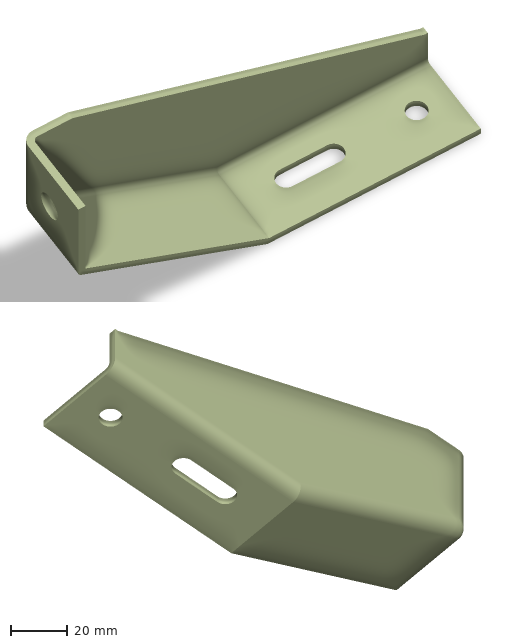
import cadquery as cq
import math

width = 38.0
length = 170.0
height = 80.0

thickness = 3.0
inner_bend = 2.0
outer_bend = inner_bend + thickness
front_corner_radius = 2.0

bend_y = 79.9
front_corner_z = 40.3
top_flat = 19.9
rear_height = 20.4
rear_flat = 1.4

hole_x = width / 2
front_hole_diameter = 11.0
front_hole_z = 60.0
base_hole_diameter = 8.5
base_hole_y = 155.0
slot_y = 110.0
slot_length = 28.5

clearance = 3.4
slope = math.atan2(front_corner_z, bend_y)


def side_prism(points, x_start, x_end):
    """Extrude a (Y, Z) outline along X."""
    profile = cq.Workplane("YZ").workplane(offset=x_start).polyline(points).close()
    return profile.extrude(x_end - x_start)


def edge_between(start, end):
    """Select the edge whose middle lies halfway between two points."""
    middle = tuple((a + b) / 2 for a, b in zip(start, end))
    return cq.selectors.NearestToPointSelector(middle)


def round_path(body, path, x, radius):
    """Round the edges along a (Y, Z) path in the plane at x."""
    edges = [
        body.edges(edge_between((x, *start), (x, *end))).val()
        for start, end in zip(path, path[1:])
    ]
    return body.newObject(edges).fillet(radius)


def outer_body():
    path = [(length, 0), (bend_y, 0), (0, front_corner_z), (0, height)]
    top = [(top_flat, height), (length - rear_flat, rear_height), (length, rear_height)]
    body = side_prism(path + top, 0, width)
    return round_path(body, path, 0, outer_bend)


def front_corner(body):
    """Round the outer edge between the front plate and the sloped flange."""
    edge = edge_between((outer_bend, 0, front_corner_z), (width, 0, front_corner_z))
    return body.edges(edge).fillet(front_corner_radius)


def cavity():
    inner_bend_y = bend_y + thickness * math.tan(slope / 2)
    inner_corner_z = thickness + (inner_bend_y - thickness) * math.tan(slope)
    rear = length + clearance
    top = height + clearance
    path = [(rear, thickness), (inner_bend_y, thickness), (thickness, inner_corner_z), (thickness, top)]
    body = side_prism(path + [(rear, top)], thickness, width + clearance)
    return round_path(body, path, thickness, inner_bend)


def holes():
    depth = thickness + 2 * clearance
    front = (
        cq.Workplane("XZ", origin=(hole_x, -clearance, front_hole_z))
        .circle(front_hole_diameter / 2)
        .extrude(-depth)
    )
    base = (
        cq.Workplane("XY", origin=(hole_x, 0, -clearance))
        .center(0, base_hole_y)
        .circle(base_hole_diameter / 2)
        .extrude(depth)
    )
    slot = (
        cq.Workplane("XY", origin=(hole_x, slot_y, -clearance))
        .slot2D(slot_length, base_hole_diameter, 90)
        .extrude(depth)
    )
    return front.union(base).union(slot)


result = front_corner(outer_body()).cut(cavity()).cut(holes())